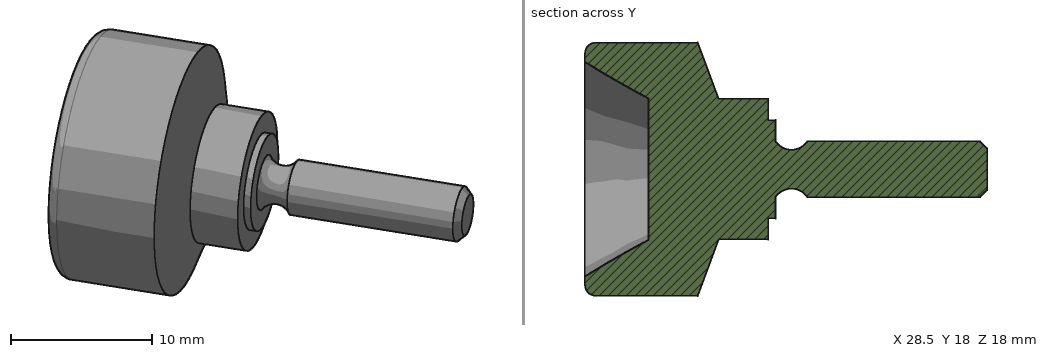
import cadquery as cq

head_diameter = 18.0
hub_diameter = 10.0
collar_diameter = 7.0
stud_diameter = 4.0
neck_diameter = 2.8
recess_mouth_diameter = 15.2
recess_floor_diameter = hub_diameter

head_end = 8.0
cone_end = 9.5
hub_end = 13.0
collar_end = 13.5
neck_end = 15.77
total_length = 28.5
recess_depth = 4.5

head_edge_radius = 0.8
stud_chamfer = 0.5

head_radius = head_diameter / 2
hub_radius = hub_diameter / 2
collar_radius = collar_diameter / 2
stud_radius = stud_diameter / 2
neck_middle = (collar_end + neck_end) / 2

edge_arc_x = head_edge_radius * (1 - 0.5 ** 0.5)

profile = (
    cq.Workplane("XY")
    .moveTo(recess_depth, 0)
    .lineTo(recess_depth, recess_floor_diameter / 2)
    .lineTo(0, recess_mouth_diameter / 2)
    .lineTo(0, head_radius - head_edge_radius)
    .threePointArc((edge_arc_x, head_radius - edge_arc_x), (head_edge_radius, head_radius))
    .lineTo(head_end, head_radius)
    .lineTo(cone_end, hub_radius)
    .lineTo(hub_end, hub_radius)
    .lineTo(hub_end, collar_radius)
    .lineTo(collar_end, collar_radius)
    .lineTo(collar_end, stud_radius)
    .threePointArc((neck_middle, neck_diameter / 2), (neck_end, stud_radius))
    .lineTo(total_length - stud_chamfer, stud_radius)
    .lineTo(total_length, stud_radius - stud_chamfer)
    .lineTo(total_length, 0)
    .close()
)

result = profile.revolve(360, (0, 0, 0), (1, 0, 0))